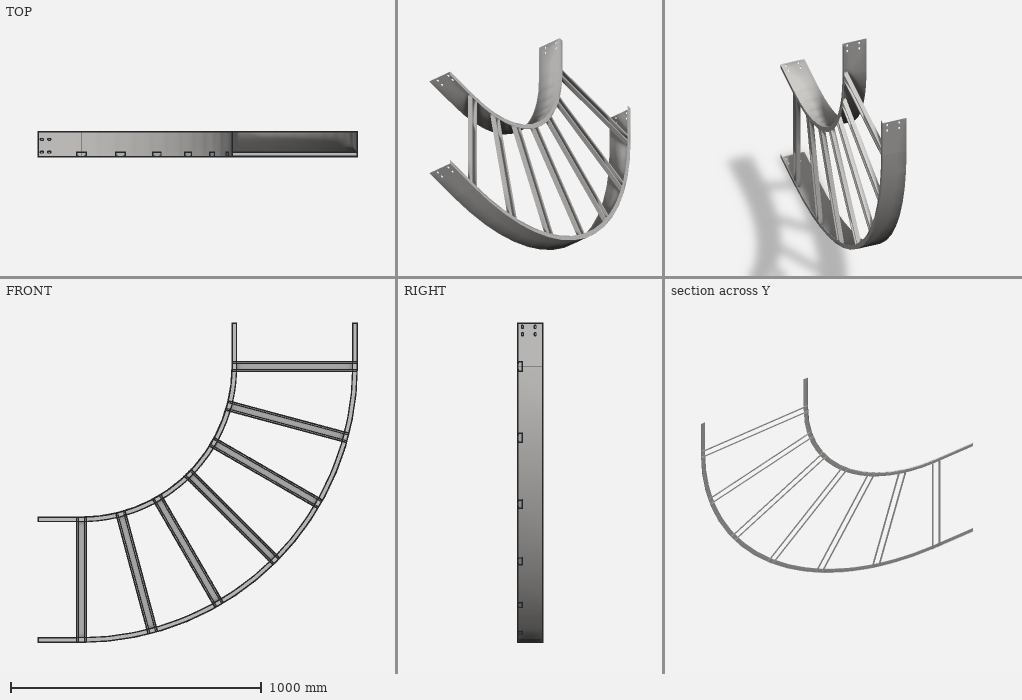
import cadquery as cq
import math


OUTER_RADIUS = 1100.0
INNER_RADIUS = 600.0
STRAIGHT_LENGTH = 173.0
BEND_ANGLE = 90

SHEET = 1.5

RAIL_DEPTH = 100.0
FLANGE_WIDTH = 19.0

RUNG_COUNT = 7
RUNG_WIDTH = 40.0
RUNG_BACK = 19.0
RUNG_LIP = 8.0

SLOT_LENGTH = 13.0
SLOT_WIDTH = 6.0
SLOT_END_DISTANCES = (15.0, 45.0)
SLOT_Y_POSITIONS = (19.0, 70.0)


def bent_strip(small_radius, large_radius, depth):
    """Band between two radii with a straight run at each end, from Y = 0 to depth."""
    diagonal = math.sqrt(0.5)
    return (
        cq.Workplane("XZ")
        .moveTo(-STRAIGHT_LENGTH, -large_radius)
        .lineTo(0, -large_radius)
        .threePointArc((large_radius * diagonal, -large_radius * diagonal), (large_radius, 0))
        .lineTo(large_radius, STRAIGHT_LENGTH)
        .lineTo(small_radius, STRAIGHT_LENGTH)
        .lineTo(small_radius, 0)
        .threePointArc((small_radius * diagonal, -small_radius * diagonal), (0, -small_radius))
        .lineTo(-STRAIGHT_LENGTH, -small_radius)
        .close()
        .extrude(-depth)
    )


def inner_rail():
    web = bent_strip(INNER_RADIUS, INNER_RADIUS + SHEET, RAIL_DEPTH)
    flange = bent_strip(INNER_RADIUS, INNER_RADIUS + FLANGE_WIDTH, SHEET)
    return web.union(flange).clean()


def outer_rail():
    web = bent_strip(OUTER_RADIUS - SHEET, OUTER_RADIUS, RAIL_DEPTH)
    flange = bent_strip(OUTER_RADIUS - FLANGE_WIDTH, OUTER_RADIUS, SHEET)
    return web.union(flange).clean()


def rung():
    """Lipped channel along +X from the outside of the inner rail into the outer rail web."""
    length = OUTER_RADIUS - SHEET / 2 - INNER_RADIUS
    height = RUNG_BACK - SHEET
    cavity_height = height - 2 * SHEET
    cavity_width = RUNG_WIDTH - 2 * SHEET
    mouth_width = RUNG_WIDTH - 2 * RUNG_LIP
    section = cq.Workplane("YZ", origin=(INNER_RADIUS, SHEET, 0))
    body = section.center(height / 2, 0).rect(height, RUNG_WIDTH).extrude(length)
    cavity = (
        section.center(SHEET + cavity_height / 2, 0)
        .rect(cavity_height, cavity_width)
        .extrude(length)
    )
    mouth = section.center(SHEET / 2, 0).rect(SHEET, mouth_width).extrude(length)
    return body.cut(cavity).cut(mouth)


def joint_slots():
    """Cutters through both rails, at the horizontal and the vertical straight ends."""
    spots = [(end, y) for end in SLOT_END_DISTANCES for y in SLOT_Y_POSITIONS]
    horizontal_end = [(end - STRAIGHT_LENGTH, y) for end, y in spots]
    vertical_end = [(y, STRAIGHT_LENGTH - end) for end, y in spots]
    through_horizontal = (
        cq.Workplane("XY")
        .pushPoints(horizontal_end)
        .slot2D(SLOT_LENGTH, SLOT_WIDTH)
        .extrude(-OUTER_RADIUS)
    )
    through_vertical = (
        cq.Workplane("YZ")
        .pushPoints(vertical_end)
        .slot2D(SLOT_LENGTH, SLOT_WIDTH, 90)
        .extrude(OUTER_RADIUS)
    )
    return through_horizontal.union(through_vertical)


result = inner_rail().union(outer_rail())
result = result.cut(joint_slots())
for index in range(RUNG_COUNT):
    angle = index * BEND_ANGLE / (RUNG_COUNT - 1)
    result = result.union(rung().rotate((0, 0, 0), (0, 1, 0), angle))